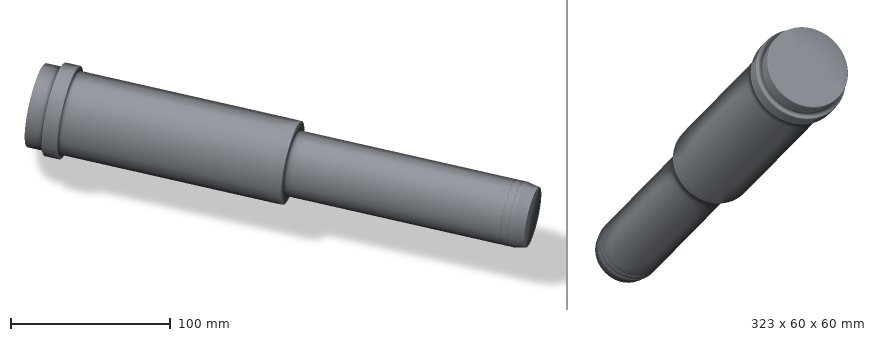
import cadquery as cq

total_length = 323.0
body_diameter = 54.0
collar_diameter = 60.0
shank_diameter = 42.0
tip_diameter = 38.8

collar_start_distance = 12.0
collar_width = 10.0
shoulder_distance = 166.7
lead_in_length = 5.0
lead_in_depth = 0.15
tip_taper_length = 7.8

edge_break = 0.3

groove_width = 1.0
groove_depth = 0.3
ring_tip_distances = (15.5, 10.5)

x_start = -total_length / 2
x_end = total_length / 2
x_collar = x_start + collar_start_distance
x_body = x_collar + collar_width
x_shoulder = x_start + shoulder_distance

body_radius = body_diameter / 2
collar_radius = collar_diameter / 2
shank_radius = shank_diameter / 2


def cylinder(x, length, radius):
    """Solid cylinder along X, starting at x."""
    return cq.Workplane("YZ", origin=(x, 0, 0)).circle(radius).extrude(length)


def groove(x, outer_radius):
    """Ring to cut away, running from x over one groove width."""
    inner = cylinder(x, groove_width, outer_radius - groove_depth)
    return cylinder(x, groove_width, outer_radius + groove_depth).cut(inner)


half_section = [
    (x_start, 0),
    (x_start, body_radius - edge_break),
    (x_start + edge_break, body_radius),
    (x_shoulder - lead_in_length, body_radius),
    (x_shoulder, body_radius - lead_in_depth),
    (x_shoulder, shank_radius),
    (x_end - tip_taper_length, shank_radius),
    (x_end, tip_diameter / 2),
    (x_end, 0),
]
pin = cq.Workplane("XY").polyline(half_section).close().revolve(360, (0, 0, 0), (1, 0, 0))

for x in (x_collar - groove_width, x_body):
    pin = pin.cut(groove(x, body_radius))

pin = pin.cut(groove(x_shoulder, shank_radius))
for tip_distance in ring_tip_distances:
    pin = pin.cut(groove(x_end - tip_distance, shank_radius))

collar = cylinder(x_collar, collar_width, collar_radius).edges().chamfer(edge_break)
result = pin.union(collar)